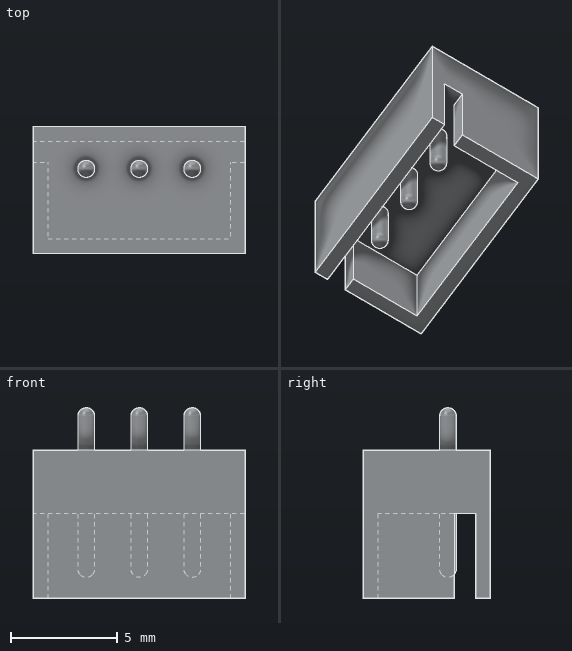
import cadquery as cq
import math

pin_count = 3
pin_pitch = 2.5
end_margin = 2.5
housing_length = (pin_count - 1) * pin_pitch + 2 * end_margin
housing_width = 6.0
housing_height = 7.0
pin_row_to_back = 2.0
back_y = pin_row_to_back
front_y = back_y - housing_width

cavity_depth = 4.0
wall = 0.7

slot_width = 1.0

pin_diameter = 0.8
pin_radius = pin_diameter / 2
pin_protrusion = 2.0
pin_top = housing_height + pin_protrusion
pin_bottom = 1.0


def box_between(x_min, x_max, y_min, y_max, z_min, z_max):
    size = (x_max - x_min, y_max - y_min, z_max - z_min)
    return cq.Workplane("XY").box(*size, centered=False).translate((x_min, y_min, z_min))


def make_housing():
    half_length = housing_length / 2
    inner_half_length = half_length - wall
    inner_back_y = back_y - wall
    body = box_between(-half_length, half_length, front_y, back_y, 0, housing_height)
    cavity = box_between(
        -inner_half_length, inner_half_length, front_y + wall, inner_back_y, 0, cavity_depth
    )
    end_slots = box_between(
        -half_length, half_length, inner_back_y - slot_width, inner_back_y, 0, cavity_depth
    )
    return body.cut(cavity).cut(end_slots)


def make_pin(x):
    arc_offset = pin_radius * math.cos(math.radians(45))
    lower_centre = pin_bottom + pin_radius
    upper_centre = pin_top - pin_radius
    profile = (
        cq.Workplane("XZ")
        .moveTo(0, pin_bottom)
        .threePointArc((arc_offset, lower_centre - arc_offset), (pin_radius, lower_centre))
        .lineTo(pin_radius, upper_centre)
        .threePointArc((arc_offset, upper_centre + arc_offset), (0, pin_top))
        .close()
    )
    return profile.revolve(360, (0, 0), (0, 1)).translate((x, 0, 0))


result = make_housing()
first_pin_x = -(pin_count - 1) * pin_pitch / 2
for index in range(pin_count):
    result = result.union(make_pin(first_pin_x + index * pin_pitch))